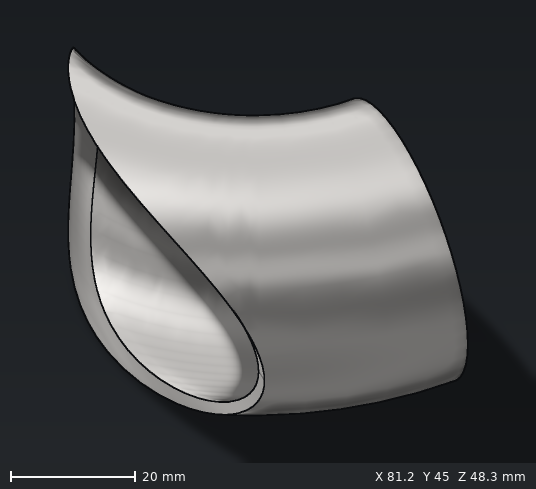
import cadquery as cq

pipe_diameter = 48.3
wall = 2.0
bend_outer_reach = 81.15
main_pipe_diameter = 60.3

pipe_radius = pipe_diameter / 2
bend_radius = bend_outer_reach - pipe_radius
bend_inner_reach = bend_radius - pipe_radius
main_pipe_radius = main_pipe_diameter / 2
bend_angle = 90


def make_elbow():
    """Quarter-turn tube: flat end on the XZ plane, bending about the Z axis towards -Y."""
    return (
        cq.Workplane("XZ")
        .center(bend_radius, 0)
        .circle(pipe_radius)
        .circle(pipe_radius - wall)
        .revolve(bend_angle, (-bend_radius, 0, 0), (-bend_radius, -1, 0))
    )


def make_main_pipe():
    """Solid main pipe along X, touching the inside of the bend so the elbow ends in a point."""
    axis_depth = bend_inner_reach + main_pipe_radius
    overrun = pipe_radius
    return (
        cq.Workplane("YZ", origin=(-overrun, 0, 0))
        .center(-axis_depth, 0)
        .circle(main_pipe_radius)
        .extrude(bend_outer_reach + 2 * overrun)
    )


result = make_elbow().cut(make_main_pipe())